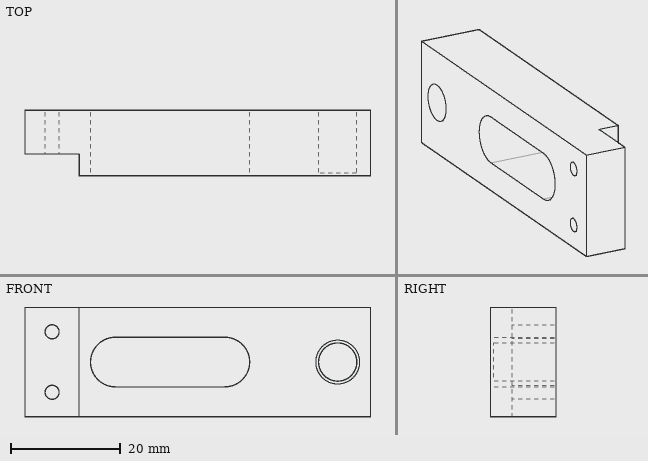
import cadquery as cq

length = 63.0
thickness = 12.0
height = 20.0

step_length = 9.9
step_depth = 4.0

slot_start = 12.0
slot_length = 29.0
slot_width = 9.0

hole_from_right_end = 6.0
hole_diameter = 6.9
chamfer_diameter = 8.0
chamfer_size = (chamfer_diameter - hole_diameter) / 2

pin_diameter = 2.5
pin_spacing = 11.0

mid_height = height / 2


def front_plane(depth=0.0):
    """XZ sketch plane at a depth behind the front face, with its normal toward -Y."""
    return cq.Workplane("XZ", origin=(0, depth, 0))


def through_hole(x, z, diameter):
    return front_plane().center(x, z).circle(diameter / 2).extrude(-thickness)


bar = cq.Workplane("XY").box(length, thickness, height, centered=False)
step = cq.Workplane("XY").box(step_length, step_depth, height, centered=False)
result = bar.cut(step)

slot = (
    front_plane()
    .center(slot_start + slot_length / 2, mid_height)
    .slot2D(slot_length, slot_width)
    .extrude(-thickness)
)
result = result.cut(slot)

hole_x = length - hole_from_right_end
entry_chamfer = (
    front_plane(chamfer_size)
    .center(hole_x, mid_height)
    .circle(hole_diameter / 2)
    .workplane(offset=chamfer_size)
    .circle(chamfer_diameter / 2)
    .loft()
)
result = result.cut(through_hole(hole_x, mid_height, hole_diameter)).cut(entry_chamfer)

for side in (-1, 1):
    pin_z = mid_height + side * pin_spacing / 2
    result = result.cut(through_hole(step_length / 2, pin_z, pin_diameter))